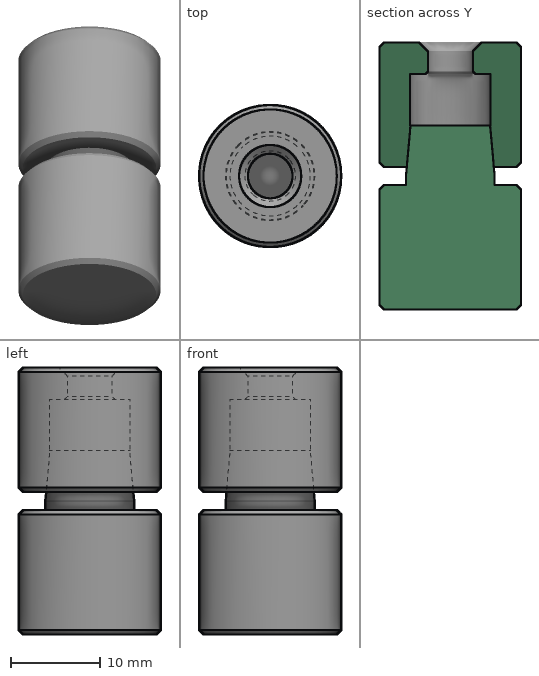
import cadquery as cq

total_height = 30.0
half_diameter = 16.0
gap = 2.0
edge_chamfer = 0.5

neck_diameter = 10.02
taper_length = 5.7
pin_tip_diameter = 9.0

screw_hole_diameter = 5.0
countersink_diameter = 7.0
inner_chamfer = 0.33
end_wall = 3.6

half_height = (total_height - gap) / 2
upper_bottom = total_height - half_height
neck_top = total_height / 2
pin_tip_top = neck_top + taper_length
ceiling = total_height - end_wall
half_radius = half_diameter / 2
neck_radius = neck_diameter / 2
pin_tip_radius = pin_tip_diameter / 2
screw_hole_radius = screw_hole_diameter / 2
countersink_radius = countersink_diameter / 2
countersink_depth = countersink_radius - screw_hole_radius
taper_slope = (neck_radius - pin_tip_radius) / taper_length
socket_mouth_radius = neck_radius - taper_slope * (upper_bottom - neck_top)


def revolve_about_z(profile):
    """Solid of revolution about Z from (radius, height) points."""
    return cq.Workplane("XZ").polyline(profile).close().revolve(360, (0, 0, 0), (0, 1, 0))


def chamfered_cylinder(bottom):
    """Outer shape of one half: a cylinder with both rims chamfered."""
    cylinder = cq.Workplane("XY").workplane(offset=bottom).circle(half_radius).extrude(half_height)
    return cylinder.edges("%CIRCLE").chamfer(edge_chamfer)


def make_lower_half():
    """Solid lower half with the tapered pin standing on its top face."""
    pin = revolve_about_z([
        (0, half_height),
        (neck_radius, half_height),
        (neck_radius, neck_top),
        (pin_tip_radius, pin_tip_top),
        (0, pin_tip_top),
    ])
    return chamfered_cylinder(0).union(pin)


def make_upper_half():
    """Upper half with a socket that fits the pin, a bore above it and a countersunk screw hole."""
    socket_and_bore = revolve_about_z([
        (0, upper_bottom),
        (socket_mouth_radius, upper_bottom),
        (pin_tip_radius, pin_tip_top),
        (pin_tip_radius, ceiling),
        (0, ceiling),
    ])
    screw_hole = revolve_about_z([
        (0, ceiling),
        (screw_hole_radius + inner_chamfer, ceiling),
        (screw_hole_radius, ceiling + inner_chamfer),
        (screw_hole_radius, total_height - countersink_depth),
        (countersink_radius, total_height),
        (0, total_height),
    ])
    return chamfered_cylinder(upper_bottom).cut(socket_and_bore).cut(screw_hole)


lower_half = make_lower_half()
upper_half = make_upper_half()

result = cq.Compound.makeCompound([lower_half.val(), upper_half.val()])